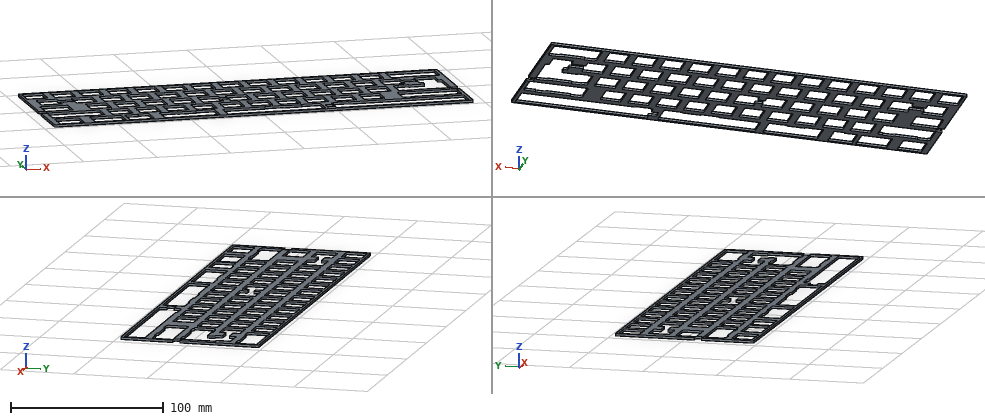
import cadquery as cq

plate_length = 285.0
plate_width = 94.0
plate_thickness = 1.6
plate_corner_radius = 1.0

field_units = 15
left_overhang = 0.55
right_overhang = 0.15
key_pitch = (plate_length + left_overhang + right_overhang) / field_units
switch_size = 14.0
cutout_corner_radius = 0.4

stab_offset = 12.0
stab_width = 7.0
stab_step = 0.9

bar_step_width = 12.5
main_bar_middle_step_offset = 37.5
right_step_offset = 1.7
right_step_width = 10.0

link_height = 4.5

edge_notch_depth = 4.5
edge_notch_height = 5.0
edge_notch_radius = 1.7
edge_notch_y = -9.0
inner_notch_length = 5.0
inner_notch_height = 5.5

MIDDLE_ROW = 2
NUMBER_ROW, TAB_ROW, CAPS_ROW, SHIFT_ROW, SPACE_ROW = range(5)

MENU_SPAN = (3.125, 3.25)
SHORT_BAR_SPAN = (4.375, 5.6)
MAIN_BAR_SPAN = (6.625, 9.375)
RIGHT_SPAN = (10.5, 14.5)


def key_x(units):
    """X of a key centre given in key units from the left end of the key field."""
    return units * key_pitch - left_overhang - plate_length / 2


def row_y(row):
    """Y of the centre line of a row."""
    return (MIDDLE_ROW - row) * key_pitch


def left_edge(units):
    return key_x(units) - switch_size / 2


def right_edge(units):
    return key_x(units) + switch_size / 2


def box(x_min, x_max, y_min, y_max):
    """Cutter through the plate between the given limits."""
    return (
        cq.Workplane("XY")
        .box(x_max - x_min, y_max - y_min, plate_thickness, centered=False)
        .translate((x_min, y_min, 0))
    )


def key_span(first, last, row, last_row=None):
    """Cutter that covers every switch position from first to last, over one or more rows."""
    lowest_row = row if last_row is None else last_row
    half = switch_size / 2
    return box(left_edge(first), right_edge(last), row_y(lowest_row) - half, row_y(row) + half)


def link(first, last, row):
    """Slot joining the switch cutouts at first and last."""
    return box(key_x(first), key_x(last), row_y(row) - link_height / 2, row_y(row) + link_height / 2)


def step(x_min, x_max, row, side):
    """Shallow step past the top (side = 1) or bottom (side = -1) edge of a row."""
    inner = row_y(row)
    outer = inner + side * (switch_size / 2 + stab_step)
    return box(x_min, x_max, min(inner, outer), max(inner, outer))


def stab_pair(centre, row, side):
    """Two stabilizer steps either side of a wide key."""
    cutters = []
    for direction in (-1, 1):
        x = key_x(centre) + direction * stab_offset
        cutters.append(step(x - stab_width / 2, x + stab_width / 2, row, side))
    return cutters


def single_keys():
    rows = (
        (NUMBER_ROW, 0.5, 13),
        (TAB_ROW, 2.0, 12),
        (CAPS_ROW, 2.25, 11),
        (SHIFT_ROW, 2.75, 10),
    )
    return [key_span(start + i, start + i, row) for row, start, count in rows for i in range(count)]


def wide_keys():
    cutters = [
        key_span(13.5, 14.5, NUMBER_ROW),
        key_span(0.75, 0.75, TAB_ROW),
        key_span(0.625, 0.875, CAPS_ROW),
        key_span(0.61, 1.75, SHIFT_ROW),
        key_span(13.125, 14.5, SHIFT_ROW),
    ]
    cutters += stab_pair(14, NUMBER_ROW, -1)
    cutters += stab_pair(1.125, SHIFT_ROW, -1)
    cutters += stab_pair(13.625, SHIFT_ROW, -1)
    return cutters


def links():
    return [link(0.75, 2, TAB_ROW), link(6.25, 7.25, CAPS_ROW), link(13, 14.25, TAB_ROW)]


def enter_key():
    """Backslash, tall enter and wide enter merged into one opening."""
    cutters = [
        key_span(14.25, 14.25, TAB_ROW),
        key_span(14.375, 14.375, 1.5, CAPS_ROW),
        key_span(13.25, 14.375, CAPS_ROW),
    ]
    upper_left_step = stab_pair(13.875, CAPS_ROW, 1)[0]
    return cutters + stab_pair(13.875, CAPS_ROW, -1) + [upper_left_step]


def bottom_row():
    """Wide openings of the lowest row, with the steps along their top edges."""
    spans = ((0.625, 0.75), (1.875, 2.25), MENU_SPAN, SHORT_BAR_SPAN, MAIN_BAR_SPAN, RIGHT_SPAN)
    cutters = [key_span(first, last, SPACE_ROW) for first, last in spans]
    menu_right = right_edge(MENU_SPAN[1])
    short_left = left_edge(SHORT_BAR_SPAN[0])
    short_right = right_edge(SHORT_BAR_SPAN[1])
    main_right = right_edge(MAIN_BAR_SPAN[1])
    middle_start = main_right - main_bar_middle_step_offset
    right_start = left_edge(RIGHT_SPAN[0]) + right_step_offset
    steps = (
        (menu_right - stab_width, menu_right),
        (short_left, short_left + bar_step_width),
        (short_right - bar_step_width, short_right),
        (middle_start, middle_start + bar_step_width),
        (main_right - bar_step_width, main_right),
        (right_start, right_start + right_step_width),
    )
    return cutters + [step(x_min, x_max, SPACE_ROW, 1) for x_min, x_max in steps]


def edge_notch(side):
    """Round-cornered notch in the left (side = -1) or right (side = 1) edge."""
    return (
        cq.Workplane("XY")
        .center(side * plate_length / 2, edge_notch_y)
        .rect(2 * edge_notch_depth, edge_notch_height)
        .extrude(plate_thickness)
        .edges("|Z")
        .fillet(edge_notch_radius)
    )


def inner_notch():
    """Notch in the left end of the rightmost bottom-row opening."""
    x = left_edge(RIGHT_SPAN[0])
    y = row_y(SPACE_ROW)
    half = inner_notch_height / 2
    return box(x - inner_notch_length, x, y - half, y + half)


cutters = single_keys() + wide_keys() + links() + enter_key() + bottom_row() + [inner_notch()]
openings = cutters[0]
for cutter in cutters[1:]:
    openings = openings.union(cutter)
openings = openings.edges("|Z").fillet(cutout_corner_radius)

plate = (
    cq.Workplane("XY")
    .box(plate_length, plate_width, plate_thickness, centered=(True, True, False))
    .edges("|Z")
    .fillet(plate_corner_radius)
)
result = plate.cut(openings).cut(edge_notch(-1)).cut(edge_notch(1))